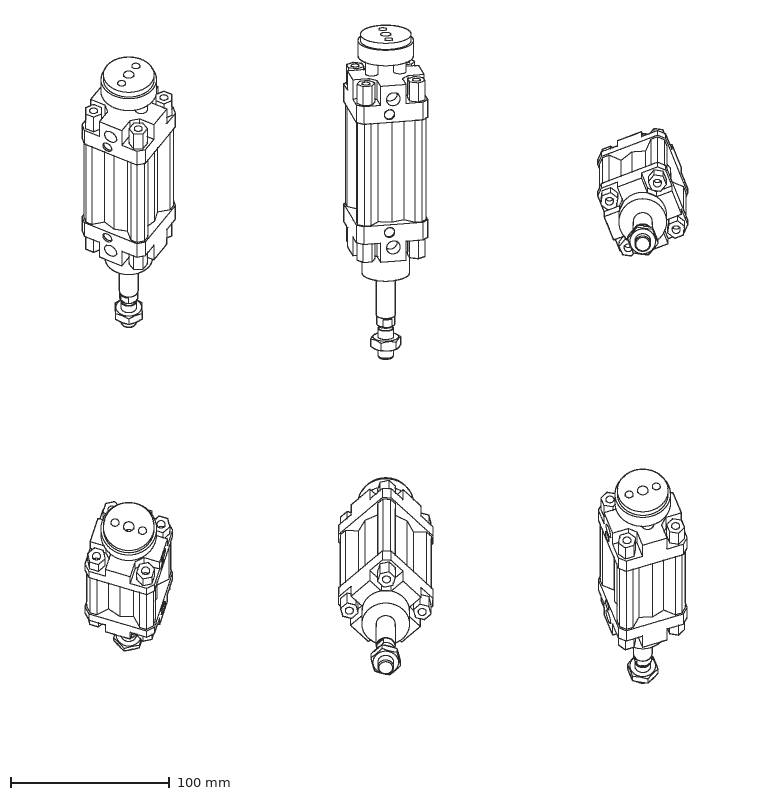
import cadquery as cq
import math

overall_height = 218.0
housing_bottom = 73.2
housing_top = 192.0
housing_middle = (housing_bottom + housing_top) / 2

cover_width = 46.0
cover_height = 24.9
cover_chamfer = 4.0
web_width = 16.4
pocket_depth = 12.9
pocket_corner_chamfer = 4.4

screw_spacing = 32.5
screw_flats = 10.0
screw_hole_diameter = 5.0
screw_hole_depth = 11.0
drill_point_angle = 118.0

port_diameter = 8.7
port_depth = 8.7
port_from_end = 9.4
cushion_diameter = 6.5
cushion_depth = 1.3
cushion_from_end = 19.6
cushion_offset = -2.5

wall_crest = 18.7
wall_valley = 8.3
tube_width = 44.0
post_chamfer = 3.5
post_inner_edge = 14.2

collar_diameter = 30.0
collar_bottom = 57.0

rod_diameter = 12.0
rod_shoulder = 28.1
wrench_diameter = 11.5
wrench_flats = 10.0
wrench_top = 27.2
wrench_bottom = 22.5
thread_diameter = 10.0
relief_diameter = 8.7
relief_bottom = 19.5
tip_chamfer_height = 1.0
relief_top = wrench_bottom - (wrench_diameter - relief_diameter) / 2

guide_rod_diameter = 8.0
guide_rod_spacing = 18.0
plate_diameter = 35.0
plate_bottom = 203.5
plate_step = 213.9
boss_diameter = 32.0
plate_center_hole = 6.5
plate_side_hole = 5.0
plate_side_spacing = 18.0

piston_diameter = guide_rod_spacing + guide_rod_diameter
piston_bottom = housing_bottom + cover_height
piston_height = 8.7

nut_flats = 17.0
nut_bottom = 7.0
nut_top = 13.7
nut_face_diameter = 16.1
nut_chamfer_angle = 30.0


def cylinder(diameter, bottom, top, points=((0, 0),)):
    """Upright cylinders at the given XY points."""
    return (
        cq.Workplane("XY", origin=(0, 0, bottom))
        .pushPoints(points)
        .circle(diameter / 2)
        .extrude(top - bottom)
    )


def hex_prism(flats, bottom, top, x=0, y=0, turn=0):
    """Upright hexagonal prism with two corners on the X direction before the turn."""
    return (
        cq.Workplane("XY")
        .polygon(6, flats / math.cos(math.pi / 6))
        .extrude(top - bottom)
        .rotate((0, 0, 0), (0, 0, 1), turn)
        .translate((x, y, bottom))
    )


def corners():
    """The direction signs of the four corners."""
    return [(sx, sy) for sx in (-1, 1) for sy in (-1, 1)]


def corner_pockets():
    """Cuts that leave a cross-shaped web on the outer end of the upper cover."""
    side = (cover_width - web_width) / 2
    center = (cover_width + web_width) / 4
    pockets = cq.Workplane("XY")
    for sx, sy in corners():
        inner_edge = ("<X" if sx > 0 else ">X", "<Y" if sy > 0 else ">Y")
        pocket = (
            cq.Workplane("XY", origin=(sx * center, sy * center, housing_top - pocket_depth))
            .rect(side, side)
            .extrude(pocket_depth)
            .faces(inner_edge[0])
            .edges(inner_edge[1])
            .chamfer(pocket_corner_chamfer)
        )
        pockets = pockets.add(pocket)
    return pockets.combine()


def screw_hole(x, y):
    """Blind hole with a drill point."""
    radius = screw_hole_diameter / 2
    point = radius / math.tan(math.radians(drill_point_angle / 2))
    return (
        cq.Workplane("XZ")
        .polyline([(0, 0), (radius, 0), (radius, -screw_hole_depth), (0, -screw_hole_depth - point)])
        .close()
        .revolve(360, (0, 0), (0, 1))
        .translate((x, y, housing_top))
    )


def front_hole(diameter, depth, x, z):
    """Blind hole into the -Y face of a cover."""
    return (
        cq.Workplane("XZ", origin=(x, -cover_width / 2, z))
        .circle(diameter / 2)
        .extrude(-depth)
    )


def upper_cover():
    """Cover with corner pockets, hexagonal screw heads, port and cushion screw recess."""
    cover = (
        cq.Workplane("XY", origin=(0, 0, housing_top - cover_height))
        .rect(cover_width, cover_width)
        .extrude(cover_height)
        .edges("|Z")
        .chamfer(cover_chamfer)
        .cut(corner_pockets())
    )
    for sx, sy in corners():
        x = sx * screw_spacing / 2
        y = sy * screw_spacing / 2
        turn = 0 if sx == sy else 90
        cover = cover.union(hex_prism(screw_flats, housing_top - pocket_depth, housing_top, x, y, turn))
        cover = cover.cut(screw_hole(x, y))
    cover = cover.cut(front_hole(port_diameter, port_depth, 0, housing_top - port_from_end))
    return cover.cut(
        front_hole(cushion_diameter, cushion_depth, cushion_offset, housing_top - cushion_from_end)
    )


def profile_tube():
    """Corner posts with 45 degree flanks, and a shallow roof-shaped wall between each two posts."""
    half = tube_width / 2
    valley_height = wall_valley + half - post_inner_edge
    quarter_outline = [
        (0, wall_crest),
        (wall_valley, valley_height),
        (post_inner_edge, half),
        (half - post_chamfer, half),
        (half, half - post_chamfer),
        (half, post_inner_edge),
        (valley_height, wall_valley),
    ]
    outline = []
    for turn in range(4):
        cosine = round(math.cos(turn * math.pi / 2))
        sine = round(math.sin(turn * math.pi / 2))
        outline += [(x * cosine + y * sine, y * cosine - x * sine) for x, y in quarter_outline]
    return (
        cq.Workplane("XY", origin=(0, 0, housing_bottom + cover_height))
        .polyline(outline)
        .close()
        .extrude(housing_top - housing_bottom - 2 * cover_height)
    )


def make_housing(moving_parts):
    """Tube, two mirrored covers and collar, with the space for the moving rod taken out."""
    cover = upper_cover()
    lower_cover = cover.mirror("XY", (0, 0, housing_middle))
    collar = cylinder(collar_diameter, collar_bottom, housing_bottom)
    return profile_tube().union(cover).union(lower_cover).union(collar).cut(moving_parts)


def front_rod():
    """Turned rod with wrench flats, thread relief and threaded end."""
    outline = [
        (0, 0),
        (relief_diameter / 2, 0),
        (thread_diameter / 2, tip_chamfer_height),
        (thread_diameter / 2, relief_bottom),
        (relief_diameter / 2, relief_bottom),
        (relief_diameter / 2, relief_top),
        (wrench_diameter / 2, wrench_bottom),
        (wrench_diameter / 2, rod_shoulder),
        (rod_diameter / 2, rod_shoulder + (rod_diameter - wrench_diameter) / 2),
        (rod_diameter / 2, piston_bottom),
        (0, piston_bottom),
    ]
    rod = cq.Workplane("XZ").polyline(outline).close().revolve(360, (0, 0), (0, 1))
    flat_cut = (
        cq.Workplane("XY", origin=(0, 0, relief_bottom))
        .rect(rod_diameter, 2 * rod_diameter)
        .rect(rod_diameter, wrench_flats)
        .extrude(wrench_top - relief_bottom)
    )
    return rod.cut(flat_cut)


def make_piston_rod():
    """Front rod, piston, twin guide rods and the end plate they carry, as one moving body."""
    piston_top = piston_bottom + piston_height
    guide_points = [(sx * guide_rod_spacing / 2, 0) for sx in (-1, 1)]
    side_points = [(0, sy * plate_side_spacing / 2) for sy in (-1, 1)]
    plate = cylinder(plate_diameter, plate_bottom, plate_step)
    plate = plate.union(cylinder(boss_diameter, plate_step, overall_height))
    plate = plate.cut(cylinder(plate_center_hole, plate_bottom, overall_height))
    plate = plate.cut(cylinder(plate_side_hole, plate_bottom, overall_height, side_points))
    return (
        front_rod()
        .union(cylinder(piston_diameter, piston_bottom, piston_top))
        .union(cylinder(guide_rod_diameter, piston_top, plate_bottom, guide_points))
        .union(plate)
    )


def make_nut():
    """Hexagonal lock nut with both ends turned to cones."""
    face_radius = nut_face_diameter / 2
    corner_radius = nut_flats / 2 / math.cos(math.pi / 6)
    drop = (corner_radius - face_radius) * math.tan(math.radians(nut_chamfer_angle))
    turned_outline = [
        (0, nut_bottom),
        (face_radius, nut_bottom),
        (corner_radius, nut_bottom + drop),
        (corner_radius, nut_top - drop),
        (face_radius, nut_top),
        (0, nut_top),
    ]
    turned = cq.Workplane("XZ").polyline(turned_outline).close().revolve(360, (0, 0), (0, 1))
    nut = hex_prism(nut_flats, nut_bottom, nut_top).intersect(turned)
    return nut.cut(cylinder(thread_diameter, nut_bottom, nut_top))


piston_rod = make_piston_rod()
housing = make_housing(piston_rod)
nut = make_nut()

result = cq.Compound.makeCompound([housing.val(), piston_rod.val(), nut.val()])